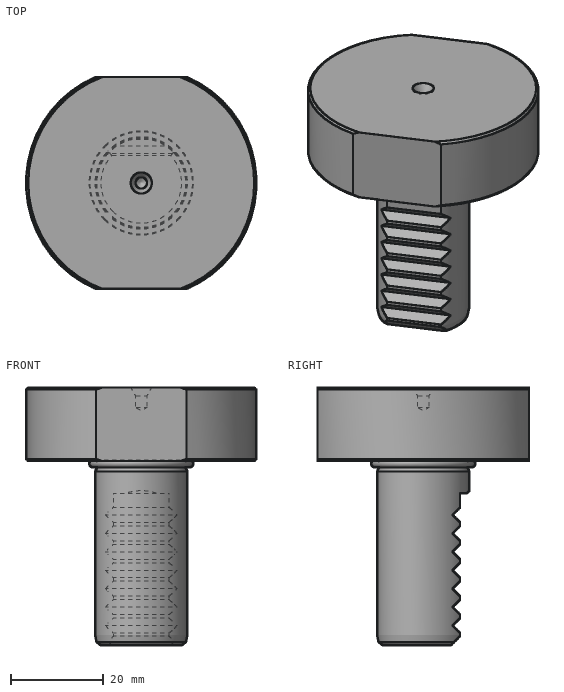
import cadquery as cq
import math

head_diameter = 50.0
head_across_flats = 46.0
head_height = 16.0
head_chamfer = 0.5

total_length = 56.0
shank_radius = 10.0
neck_radius = 9.65
neck_taper_start = 1.4
neck_taper_end = 2.2
lead_in_length = 2.2
lead_in_radius = 9.75
tip_chamfer_height = 0.8
tip_radius = 8.75

flat_offset = 8.0
flat_top_depth = 23.0
shoulder_chamfer = 0.6
tooth_count = 7
tooth_pitch = 4.005
groove_depth = 1.6
first_groove_depth = 27.65
tip_bevel_height = 2.1

ring_mean_radius = 10.5
ring_section_radius = 0.81
ring_drop = 0.53

centre_mouth_radius = 2.3
centre_drill_radius = 1.25
centre_drill_length = 2.5
countersink_half_angle = 30.0
drill_tip_half_angle = 60.0

head_radius = head_diameter / 2
shank_top = -head_height
shank_tip = -total_length


def make_ring():
    centre_height = shank_top - ring_drop
    return (
        cq.Workplane("XZ")
        .center(ring_mean_radius, centre_height)
        .circle(ring_section_radius)
        .revolve(360, (-ring_mean_radius, 0), (-ring_mean_radius, 1))
    )


def make_head():
    disc = (
        cq.Workplane("XY")
        .circle(head_radius)
        .extrude(-head_height)
        .faces("<Z or >Z")
        .chamfer(head_chamfer)
    )
    between_flats = cq.Workplane("XY").box(
        head_diameter, head_across_flats, head_height, centered=(True, True, False)
    ).translate((0, 0, -head_height))
    return disc.intersect(between_flats)


def make_shank():
    """Revolved shank, starting slightly inside the head."""
    overlap = head_chamfer
    profile = [
        (0, shank_top + overlap),
        (neck_radius, shank_top + overlap),
        (neck_radius, shank_top - neck_taper_start),
        (shank_radius, shank_top - neck_taper_end),
        (shank_radius, shank_tip + lead_in_length),
        (lead_in_radius, shank_tip + tip_chamfer_height),
        (tip_radius, shank_tip),
        (0, shank_tip),
    ]
    return cq.Workplane("XZ").polyline(profile).close().revolve(360, (0, 0), (0, 1))


def make_tooth_cutter():
    """Material outside the toothed flat, drawn in YZ and running along X."""
    outer = shank_radius + shoulder_chamfer
    step = -flat_top_depth
    outline = [
        (outer, step + 2 * shoulder_chamfer),
        (shank_radius - shoulder_chamfer, step),
        (flat_offset, step),
    ]
    for index in range(tooth_count):
        root = -first_groove_depth - index * tooth_pitch
        outline += [
            (flat_offset, root + groove_depth),
            (flat_offset - groove_depth, root),
            (flat_offset, root - groove_depth),
        ]
    outline += [
        (flat_offset, shank_tip + tip_bevel_height),
        (flat_offset - tip_bevel_height, shank_tip),
        (outer, shank_tip),
    ]
    return cq.Workplane("YZ").polyline(outline).close().extrude(shank_radius, both=True)


def make_centre_hole():
    countersink_depth = (
        (centre_mouth_radius - centre_drill_radius) / math.tan(math.radians(countersink_half_angle))
    )
    drill_end = countersink_depth + centre_drill_length
    point_height = centre_drill_radius / math.tan(math.radians(drill_tip_half_angle))
    profile = [
        (0, 0),
        (centre_mouth_radius, 0),
        (centre_drill_radius, -countersink_depth),
        (centre_drill_radius, -drill_end),
        (0, -drill_end - point_height),
    ]
    return cq.Workplane("XZ").polyline(profile).close().revolve(360, (0, 0), (0, 1))


seal_ring = make_ring()
holder = (
    make_head()
    .union(make_shank())
    .cut(make_tooth_cutter())
    .cut(make_centre_hole())
    .cut(seal_ring)
)

result = cq.Compound.makeCompound([holder.val(), seal_ring.val()])